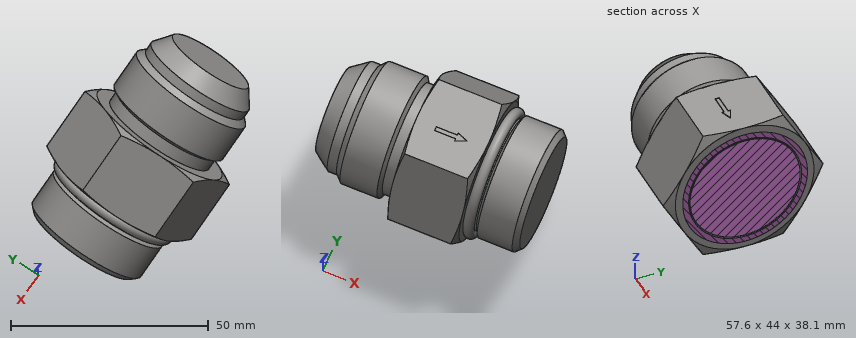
import cadquery as cq
import math

overall_length = 57.65
nose_end = 4.65
pilot_end = 7.2
hex_start = 23.2
hex_end = 42.6
port_thread_start = 46.6

nose_diameter = 23.25
pilot_diameter = 30.05
thread_diameter = 33.3
neck_diameter = 30.4

across_flats = 38.1
across_corners = across_flats / math.cos(math.radians(30))
hex_chamfer_angle = 20

thread_depth = (thread_diameter - neck_diameter) / 2
lead_in_length = (thread_diameter - pilot_diameter) / 2
runout_angle = 60
runout_length = thread_depth / math.tan(math.radians(runout_angle))
nose_thread_end = 19

ring_section_diameter = 2.95
ring_inner_diameter = 29.75
ring_center_x = hex_end + ring_section_diameter / 2
ring_center_radius = (ring_inner_diameter + ring_section_diameter) / 2

arrow_start = 28.7
arrow_length = 8.65
arrow_head_length = 2.9
arrow_center_y = -1.6
arrow_shaft_width = 1.1
arrow_head_width = 2.3
arrow_depth = 0.1


def revolve_about_x(profile):
    return profile.close().revolve(360, (0, 0, 0), (1, 0, 0))


def make_turned_shank():
    """The continuous turned core, from the conical nose to the port thread."""
    nose_radius = nose_diameter / 2
    pilot_radius = pilot_diameter / 2
    thread_radius = thread_diameter / 2
    neck_radius = neck_diameter / 2
    profile = (
        cq.Workplane("XY")
        .moveTo(0, 0)
        .lineTo(0, nose_radius)
        .lineTo(nose_end, pilot_radius)
        .lineTo(pilot_end, pilot_radius)
        .lineTo(pilot_end + lead_in_length, thread_radius)
        .lineTo(nose_thread_end, thread_radius)
        .lineTo(nose_thread_end + runout_length, neck_radius)
        .lineTo(port_thread_start - runout_length, neck_radius)
        .lineTo(port_thread_start, thread_radius)
        .lineTo(overall_length - thread_depth, thread_radius)
        .lineTo(overall_length, neck_radius)
        .lineTo(overall_length, 0)
    )
    return revolve_about_x(profile)


def make_hexagon():
    """Hexagon with flats facing +Z and -Z, its corners chamfered at both ends."""
    prism = (
        cq.Workplane("YZ", origin=(hex_start, 0, 0))
        .polygon(6, across_corners)
        .extrude(hex_end - hex_start)
    )
    face_radius = across_flats / 2
    corner_radius = across_corners / 2
    chamfer_length = (corner_radius - face_radius) * math.tan(math.radians(hex_chamfer_angle))
    envelope = (
        cq.Workplane("XY")
        .moveTo(hex_start, 0)
        .lineTo(hex_start, face_radius)
        .lineTo(hex_start + chamfer_length, corner_radius)
        .lineTo(hex_end - chamfer_length, corner_radius)
        .lineTo(hex_end, face_radius)
        .lineTo(hex_end, 0)
    )
    return prism.intersect(revolve_about_x(envelope))


def make_o_ring():
    section = cq.Workplane("XY").center(ring_center_x, ring_center_radius).circle(ring_section_diameter / 2)
    return section.revolve(360, (0, -ring_center_radius, 0), (1, -ring_center_radius, 0))


def make_flow_arrow():
    """Cutter for the arrow, which points toward the port thread."""
    shaft_length = arrow_length - arrow_head_length
    half_shaft = arrow_shaft_width / 2
    half_head = arrow_head_width / 2
    return (
        cq.Workplane("XY", origin=(arrow_start, arrow_center_y, across_flats / 2 - arrow_depth))
        .polyline([
            (0, -half_shaft),
            (shaft_length, -half_shaft),
            (shaft_length, -half_head),
            (arrow_length, 0),
            (shaft_length, half_head),
            (shaft_length, half_shaft),
            (0, half_shaft),
        ])
        .close()
        .extrude(arrow_depth)
    )


o_ring = make_o_ring()

fitting = make_turned_shank().union(make_hexagon()).cut(o_ring).cut(make_flow_arrow())

result = cq.Compound.makeCompound([fitting.solids().val(), o_ring.val()])